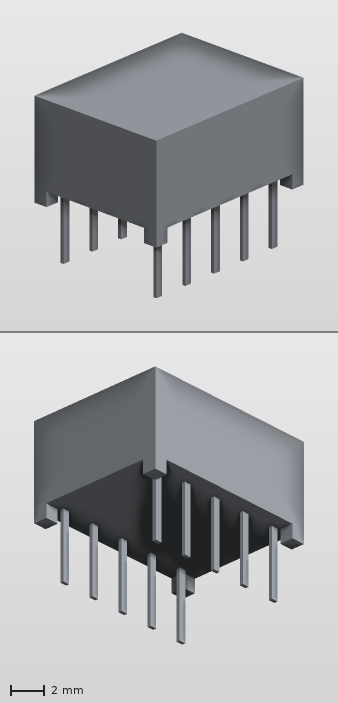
import cadquery as cq
import math

BODY_LENGTH_X = 10.0
BODY_LENGTH_Y = 13.0
BODY_TOP_Z = 7.0
FOOT_SIZE = 1.0
FOOT_HEIGHT = 1.0

PIN_PITCH = 2.54
PINS_PER_ROW = 5
ROW_SPACING = 3 * PIN_PITCH
PIN_THICKNESS_X = 0.25
PIN_WIDTH_Y = 0.5
PIN_LENGTH = 5.0

SLANT_ANGLE = 10.0
DIGIT_HEIGHT = 9.9
STROKE = 1.0
DIGIT_WIDTH = 6.28
SEGMENT_GAP = 0.15
MIDDLE_TIP_LENGTH = 0.66
OUTER_TIP_LENGTH = 0.6
OUTER_TIP_OFFSET = 0.08
VERTICAL_TIP_DROP = 0.02

DOT_DIAMETER = 1.2
DOT_X = -3.08
DOT_Y = 4.58

INLAY_DEPTH = 0.1


def make_housing():
    """Block with two crossing channels underneath that leave four corner feet."""
    block = cq.Workplane("XY").box(
        BODY_LENGTH_X, BODY_LENGTH_Y, BODY_TOP_Z, centered=(True, True, False)
    )
    channel_x = cq.Workplane("XY").box(
        BODY_LENGTH_X, BODY_LENGTH_Y - 2 * FOOT_SIZE, FOOT_HEIGHT, centered=(True, True, False)
    )
    channel_y = cq.Workplane("XY").box(
        BODY_LENGTH_X - 2 * FOOT_SIZE, BODY_LENGTH_Y, FOOT_HEIGHT, centered=(True, True, False)
    )
    return block.cut(channel_x).cut(channel_y)


def make_pins():
    """Both pin rows, from the underside of the block downwards."""
    return (
        cq.Workplane("XY", origin=(0, 0, FOOT_HEIGHT))
        .rarray(ROW_SPACING, PIN_PITCH, 2, PINS_PER_ROW)
        .rect(PIN_THICKNESS_X, PIN_WIDTH_Y)
        .extrude(-PIN_LENGTH)
    )


def slanted(point):
    """Shear an upright digit point towards +X."""
    x, y = point
    return (x + y * math.tan(math.radians(SLANT_ANGLE)), y)


def make_inlay(outline):
    """Thin plate below the top face from an upright segment outline."""
    return (
        cq.Workplane("XY", origin=(0, 0, BODY_TOP_Z))
        .polyline([slanted(point) for point in outline])
        .close()
        .extrude(-INLAY_DEPTH)
    )


def horizontal_outline(center_y, tip_length, tip_y):
    """Hexagon with its tips at -X and +X; the tips may sit off the stroke's centre line."""
    edge_x = DIGIT_WIDTH / 2 - STROKE - SEGMENT_GAP
    tip_x = edge_x + tip_length
    low_y = center_y - STROKE / 2
    high_y = center_y + STROKE / 2
    return [
        (-tip_x, tip_y),
        (-edge_x, high_y),
        (edge_x, high_y),
        (tip_x, tip_y),
        (edge_x, low_y),
        (-edge_x, low_y),
    ]


def vertical_outline(side_x, side_y):
    """Hexagon with its tips at -Y and +Y, in the quadrant given by the two signs."""
    inner_x = DIGIT_WIDTH / 2 - STROKE
    outer_x = DIGIT_WIDTH / 2
    middle_x = DIGIT_WIDTH / 2 - STROKE / 2
    low_y = STROKE / 2
    high_y = DIGIT_HEIGHT / 2 - STROKE
    low_tip_y = SEGMENT_GAP
    high_tip_y = DIGIT_HEIGHT / 2 - STROKE / 2 - VERTICAL_TIP_DROP
    corners = [
        (middle_x, high_tip_y),
        (outer_x, high_y),
        (outer_x, low_y),
        (middle_x, low_tip_y),
        (inner_x, low_y),
        (inner_x, high_y),
    ]
    return [(side_x * x, side_y * y) for x, y in corners]


def make_inlays():
    """The seven digit segments and the dot."""
    outer_segment_y = (DIGIT_HEIGHT - STROKE) / 2
    outlines = [horizontal_outline(0, MIDDLE_TIP_LENGTH, 0)]
    for side_y in (-1, 1):
        tip_y = side_y * (outer_segment_y + OUTER_TIP_OFFSET)
        outlines.append(horizontal_outline(side_y * outer_segment_y, OUTER_TIP_LENGTH, tip_y))
        for side_x in (-1, 1):
            outlines.append(vertical_outline(side_x, side_y))
    inlays = [make_inlay(outline) for outline in outlines]
    dot = (
        cq.Workplane("XY", origin=(DOT_X, DOT_Y, BODY_TOP_Z))
        .circle(DOT_DIAMETER / 2)
        .extrude(-INLAY_DEPTH)
    )
    return inlays + [dot]


result = make_housing().union(make_pins())

for inlay in make_inlays():
    result = result.union(inlay, clean=False)

result = cq.Workplane(result.solids().val())